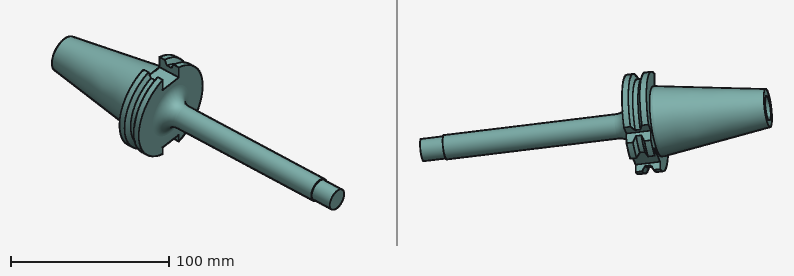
import cadquery as cq
import math

total_length = 224.0
taper_length = 68.3
collar_length = 1.3
flange_start = 71.6
flange_width = 16.0
flange_end = flange_start + flange_width
tip_length = 14.8
tip_start = total_length - tip_length

gauge_radius = 22.2
taper_slope = 7 / 48
small_end_radius = gauge_radius - taper_length * taper_slope
collar_radius = 22.5
flange_radius = 31.8
shank_radius = 7.8
tip_radius = 7.2
root_fillet = 10.0

groove_floor_radius = 28.2
groove_floor_width = 3.4
groove_flank_angle = 30.0

slot_width = 16.0
top_slot_floor = 22.5
bottom_slot_floor = 25.3
notch_offset = 18.5

bore_radius = 7.8
bore_depth = 31.3
thread_radius = 7.2
thread_end = 53.7


def make_turned_body():
    """Revolve the taper, collar, flange, shank and tip about X."""
    collar_end = taper_length + collar_length
    arc_center_x = flange_end + root_fillet
    arc_center_r = shank_radius + root_fillet
    arc_reach = root_fillet * math.sqrt(0.5)
    profile = (
        cq.Workplane("XY")
        .lineTo(0, small_end_radius)
        .lineTo(taper_length, gauge_radius)
        .lineTo(collar_end, collar_radius)
        .lineTo(flange_start, collar_radius)
        .lineTo(flange_start, flange_radius)
        .lineTo(flange_end, flange_radius)
        .lineTo(flange_end, arc_center_r)
        .threePointArc(
            (arc_center_x - arc_reach, arc_center_r - arc_reach),
            (arc_center_x, shank_radius),
        )
        .lineTo(tip_start, shank_radius)
        .lineTo(tip_start, tip_radius)
        .lineTo(total_length, tip_radius)
        .lineTo(total_length, 0)
        .close()
    )
    return profile.revolve(360, (0, 0, 0), (1, 0, 0))


def make_groove():
    """Ring with a trapezoidal section, centred on the flange width."""
    middle = (flange_start + flange_end) / 2
    half_floor = groove_floor_width / 2
    depth = flange_radius - groove_floor_radius
    half_mouth = half_floor + depth * math.tan(math.radians(groove_flank_angle))
    section = cq.Workplane("XY").polyline([
        (middle - half_floor, groove_floor_radius),
        (middle + half_floor, groove_floor_radius),
        (middle + half_mouth, flange_radius),
        (middle - half_mouth, flange_radius),
    ]).close()
    return section.revolve(360, (0, 0, 0), (1, 0, 0))


def make_flange_cut(y_min, y_max, z_min, z_max):
    """Block spanning the flange width between the given Y and Z limits."""
    block = cq.Workplane("XY").box(flange_width, y_max - y_min, z_max - z_min, centered=False)
    return block.translate((flange_start, y_min, z_min))


def make_bore(radius, depth):
    """Cylinder entering from the small end of the taper."""
    return cq.Workplane("YZ").circle(radius).extrude(depth)


half_slot = slot_width / 2
top_slot = make_flange_cut(-half_slot, half_slot, top_slot_floor, flange_radius)
bottom_slot = make_flange_cut(-half_slot, half_slot, -flange_radius, -bottom_slot_floor)
notch = make_flange_cut(notch_offset, flange_radius, -flange_radius, -notch_offset)

result = make_turned_body().cut(make_groove())
for flange_cut in (top_slot, bottom_slot, notch):
    result = result.cut(flange_cut)
result = result.cut(make_bore(bore_radius, bore_depth))
result = result.cut(make_bore(thread_radius, thread_end))